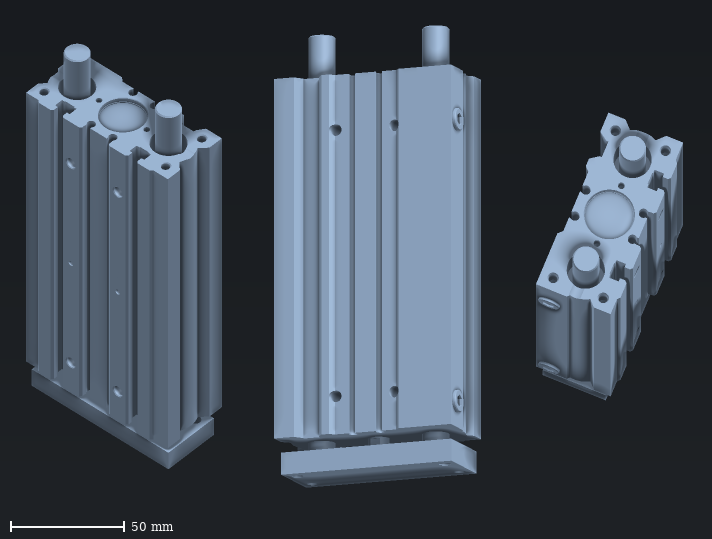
import cadquery as cq
import math


TOTAL_HEIGHT = 199.0
HOUSING_BOTTOM = 16.0
HOUSING_TOP = 178.0
HOUSING_LENGTH = HOUSING_TOP - HOUSING_BOTTOM
HOUSING_LEFT = -41.4
HOUSING_RIGHT = 42.5
HOUSING_BACK = 18.0
HOUSING_FRONT = -19.0
ROD_X = 27.0

PLATE_SIZE = (81.0, 30.0, 10.0)
PLATE_HOLE_X = 35.0
PLATE_HOLE_Y = 9.0
PLATE_HOLE_DIAMETER = 5.2
GUIDE_ROD_DIAMETER = 12.0
GUIDE_ROD_CHAMFER = 0.5
PISTON_ROD_DIAMETER = 9.5
PISTON_ROD_DEPTH = 19.9
FLAT_DISTANCE = 4.2
FLAT_HEIGHT = 5.4

FRONT_CORNER_STEP = 1.2
FRONT_STEP_X = 34.0
BACK_RECESS_HALF = 14.5
BACK_RECESS_FLOOR = 16.0
FRONT_PAD_Y = -16.1
CHANNEL_HALF = 8.0
MOUTH_CHAMFER = 1.0

T_SLOT_X = 22.0
T_SLOT_MOUTH = 5.4
T_SLOT_WIDTH = 8.5
T_SLOT_SHELF_Y = -15.3
T_SLOT_CEILING_Y = -10.7
T_SLOT_RELIEF_Y = -10.3

ROUND_SLOT_X = 6.4
ROUND_SLOT_Y = 13.7
ROUND_SLOT_DIAMETER = 4.2
ROUND_SLOT_NECK = 3.0

POCKET_X = 26.7
POCKET_MOUTH_HALF = 6.5
POCKET_FLOOR_HALF = 3.8
POCKET_SLOPE_END_Y = 14.0
POCKET_FLOOR_Y = 13.0

ROD_BOSS_RADIUS = 13.3
LEFT_RECESS_SPAN = (-9.8, 3.2)
RIGHT_RECESS_SPAN = (-9.8, 9.8)

ROD_CLEARANCE_DIAMETER = 17.0
ROD_CLEARANCE_DEPTH = 19.9
SCOOP_DIAMETER = 10.5
SCOOP_WIDTH = 5.4

COVER_DIAMETER = 22.0
COVER_MOUTH = 22.7
COVER_DEPTH = 2.2
COVER_STEP_DIAMETER = 21.3
COVER_STEP_DEPTH = 2.5

CORNER_HOLE_X = 36.0
CORNER_HOLE_Y = 12.0
CORNER_HOLE_DIAMETER = 4.2
CORNER_HOLE_MOUTH = 5.2
CORNER_HOLE_DEPTH = 12.0
COVER_PIN_X = 14.1
COVER_PIN_DIAMETER = 3.0
COVER_PIN_DEPTH = 6.0
DRILL_POINT_ANGLE = 118.0

FRONT_HOLE_X = 14.0
FRONT_HOLE_HEIGHTS = (33.0, 153.0)
FRONT_HOLE_DIAMETER = 5.2
FRONT_HOLE_MOUTH = 6.0
LOCATING_HOLE_Z = 93.0
LOCATING_HOLE_DIAMETER = 2.5
LOCATING_HOLE_DEPTH = 6.0

PLUG_Y = 11.3
PLUG_HEIGHTS = (27.5, 154.5)
PLUG_DIAMETER = 10.0
PLUG_FACE_DIAMETER = 9.2
PLUG_PROJECTION = 1.5
PLUG_HEX_FLATS = 5.0
PLUG_HEX_DEPTH = 4.0

SIDES = (-1, 1)


def cylinder(diameter, length, base, direction):
    solid = cq.Solid.makeCylinder(diameter / 2, length, cq.Vector(*base), cq.Vector(*direction))
    return cq.Workplane(solid)


def cone(start_diameter, end_diameter, length, base, direction):
    radii = (start_diameter / 2, end_diameter / 2)
    return cq.Workplane(cq.Solid.makeCone(*radii, length, cq.Vector(*base), cq.Vector(*direction)))


def drilled_hole(diameter, depth, base, direction, mouth=None):
    """Blind hole with a drill point, and a 45 degree countersink if a mouth diameter is given."""
    point_length = diameter / 2 / math.tan(math.radians(DRILL_POINT_ANGLE / 2))
    bottom = [b + depth * d for b, d in zip(base, direction)]
    hole = cylinder(diameter, depth, base, direction)
    hole = hole.union(cone(diameter, 0, point_length, bottom, direction))
    if mouth:
        hole = hole.union(cone(mouth, diameter, (mouth - diameter) / 2, base, direction))
    return hole


def prism(points):
    """Closed outline in X and Y, drawn out over the whole housing length."""
    return cq.Workplane("XY", origin=(0, 0, HOUSING_BOTTOM)).polyline(points).close().extrude(HOUSING_LENGTH)


def mirrored(half_points, centre=0):
    """Outline symmetric about X = centre, from (half width, Y) pairs."""
    right_half = [(centre + half, y) for half, y in half_points]
    left_half = [(centre - half, y) for half, y in reversed(half_points)]
    return prism(right_half + left_half)


def housing_blank():
    step_y = HOUSING_FRONT + FRONT_CORNER_STEP
    return prism([
        (HOUSING_LEFT, step_y),
        (-FRONT_STEP_X, step_y),
        (-FRONT_STEP_X + FRONT_CORNER_STEP, HOUSING_FRONT),
        (FRONT_STEP_X - FRONT_CORNER_STEP, HOUSING_FRONT),
        (FRONT_STEP_X, step_y),
        (HOUSING_RIGHT, step_y),
        (HOUSING_RIGHT, HOUSING_BACK),
        (HOUSING_LEFT, HOUSING_BACK),
    ])


def back_recess():
    mouth_half = BACK_RECESS_HALF + HOUSING_BACK - BACK_RECESS_FLOOR
    return mirrored([(BACK_RECESS_HALF, BACK_RECESS_FLOOR), (mouth_half, HOUSING_BACK)])


def front_channel():
    return mirrored([
        (CHANNEL_HALF + MOUTH_CHAMFER, HOUSING_FRONT),
        (CHANNEL_HALF, HOUSING_FRONT + MOUTH_CHAMFER),
        (CHANNEL_HALF, FRONT_PAD_Y),
    ])


def t_slot(x):
    mouth_half = T_SLOT_MOUTH / 2
    return mirrored([
        (mouth_half + MOUTH_CHAMFER, HOUSING_FRONT),
        (mouth_half, HOUSING_FRONT + MOUTH_CHAMFER),
        (mouth_half, T_SLOT_SHELF_Y),
        (T_SLOT_WIDTH / 2, T_SLOT_SHELF_Y),
        (T_SLOT_WIDTH / 2, T_SLOT_CEILING_Y),
        (mouth_half, T_SLOT_CEILING_Y),
        (mouth_half, T_SLOT_RELIEF_Y),
    ], x)


def round_slot(x, side):
    mouth_y = BACK_RECESS_FLOOR if side > 0 else FRONT_PAD_Y
    centre_y = side * ROUND_SLOT_Y
    neck = mirrored([(ROUND_SLOT_NECK / 2, centre_y), (ROUND_SLOT_NECK / 2, mouth_y)], x)
    slot_base = (x, centre_y, HOUSING_BOTTOM)
    return neck.union(cylinder(ROUND_SLOT_DIAMETER, HOUSING_LENGTH, slot_base, (0, 0, 1)))


def nut_pocket():
    return mirrored([
        (POCKET_FLOOR_HALF, POCKET_FLOOR_Y),
        (POCKET_FLOOR_HALF, POCKET_SLOPE_END_Y),
        (POCKET_MOUTH_HALF, HOUSING_BACK),
    ], POCKET_X)


def side_recess(side, edge_x, span):
    """45 degree V in a side face that stops at the round boss of the guide rod."""
    low, high = span
    depth = (high - low) / 2
    wedge = prism([(edge_x, low), (edge_x, high), (edge_x - side * depth, low + depth)])
    boss_base = (side * ROD_X, 0, HOUSING_BOTTOM)
    return wedge.cut(cylinder(2 * ROD_BOSS_RADIUS, HOUSING_LENGTH, boss_base, (0, 0, 1)))


def extrusion():
    body = housing_blank().cut(back_recess()).cut(front_channel()).cut(nut_pocket())
    body = body.cut(side_recess(-1, HOUSING_LEFT, LEFT_RECESS_SPAN))
    body = body.cut(side_recess(1, HOUSING_RIGHT, RIGHT_RECESS_SPAN))
    for side_x in SIDES:
        body = body.cut(t_slot(side_x * T_SLOT_X))
        for side_y in SIDES:
            body = body.cut(round_slot(side_x * ROUND_SLOT_X, side_y))
    return body


def rod_passages(body):
    """Guide rod bores with a wide clearance at the top, side scoops, and the piston rod bore."""
    down = (0, 0, -1)
    scoop_axis_z = HOUSING_TOP + math.sqrt(SCOOP_DIAMETER ** 2 - SCOOP_WIDTH ** 2) / 2
    for side in SIDES:
        top = (side * ROD_X, 0, HOUSING_TOP)
        body = body.cut(cylinder(GUIDE_ROD_DIAMETER, HOUSING_LENGTH, top, down))
        body = body.cut(cylinder(ROD_CLEARANCE_DIAMETER, ROD_CLEARANCE_DEPTH, top, down))
        scoop_start = (side * ROD_X, 0, scoop_axis_z)
        body = body.cut(cylinder(SCOOP_DIAMETER, HOUSING_RIGHT - ROD_X, scoop_start, (side, 0, 0)))
    return body.cut(cylinder(PISTON_ROD_DIAMETER, PISTON_ROD_DEPTH, (0, 0, HOUSING_BOTTOM), (0, 0, 1)))


def cover_recess(body):
    down = (0, 0, -1)
    centre = (0, 0, HOUSING_TOP)
    mouth_depth = (COVER_MOUTH - COVER_DIAMETER) / 2
    body = body.cut(cone(COVER_MOUTH, COVER_DIAMETER, mouth_depth, centre, down))
    body = body.cut(cylinder(COVER_DIAMETER, COVER_DEPTH, centre, down))
    return body.cut(cylinder(COVER_STEP_DIAMETER, COVER_STEP_DEPTH, centre, down))


def top_holes(body):
    down = (0, 0, -1)
    for side_x in SIDES:
        pin_place = (side_x * COVER_PIN_X, 0, HOUSING_TOP)
        body = body.cut(drilled_hole(COVER_PIN_DIAMETER, COVER_PIN_DEPTH, pin_place, down))
        for side_y in SIDES:
            corner = (side_x * CORNER_HOLE_X, side_y * CORNER_HOLE_Y, HOUSING_TOP)
            body = body.cut(
                drilled_hole(CORNER_HOLE_DIAMETER, CORNER_HOLE_DEPTH, corner, down, CORNER_HOLE_MOUTH)
            )
    return body


def front_holes(body):
    inward = (0, 1, 0)
    housing_depth = HOUSING_BACK - HOUSING_FRONT
    sink_depth = (FRONT_HOLE_MOUTH - FRONT_HOLE_DIAMETER) / 2
    for side in SIDES:
        x = side * FRONT_HOLE_X
        for z in FRONT_HOLE_HEIGHTS:
            mouth = (x, HOUSING_FRONT, z)
            body = body.cut(cylinder(FRONT_HOLE_DIAMETER, housing_depth, mouth, inward))
            body = body.cut(cone(FRONT_HOLE_MOUTH, FRONT_HOLE_DIAMETER, sink_depth, mouth, inward))
        locating = (x, HOUSING_FRONT, LOCATING_HOLE_Z)
        body = body.cut(drilled_hole(LOCATING_HOLE_DIAMETER, LOCATING_HOLE_DEPTH, locating, inward))
    return body


def add_port_plugs(body):
    """Plug heads with a chamfered face and a hexagon socket."""
    outward = (-1, 0, 0)
    chamfer = (PLUG_DIAMETER - PLUG_FACE_DIAMETER) / 2
    rim = PLUG_PROJECTION - chamfer
    face_x = HOUSING_LEFT - PLUG_PROJECTION
    hex_diameter = PLUG_HEX_FLATS / math.cos(math.pi / 6)
    for z in PLUG_HEIGHTS:
        body = body.union(cylinder(PLUG_DIAMETER, rim, (HOUSING_LEFT, PLUG_Y, z), outward))
        rim_end = (HOUSING_LEFT - rim, PLUG_Y, z)
        body = body.union(cone(PLUG_DIAMETER, PLUG_FACE_DIAMETER, chamfer, rim_end, outward))
        socket_plane = cq.Workplane(cq.Plane((face_x, PLUG_Y, z), xDir=(0, 0, 1), normal=(1, 0, 0)))
        body = body.cut(socket_plane.polygon(6, hex_diameter).extrude(PLUG_HEX_DEPTH))
    return body


def make_housing():
    body = rod_passages(extrusion())
    body = cover_recess(body)
    body = top_holes(body)
    body = front_holes(body)
    return add_port_plugs(body)


def piston_rod():
    plate_top = PLATE_SIZE[2]
    length = HOUSING_BOTTOM + PISTON_ROD_DEPTH - plate_top
    rod = cylinder(PISTON_ROD_DIAMETER, length, (0, 0, plate_top), (0, 0, 1))
    for side in SIDES:
        flat = cq.Workplane("XY", origin=(0, side * (FLAT_DISTANCE + PISTON_ROD_DIAMETER / 2), plate_top))
        rod = rod.cut(flat.rect(PISTON_ROD_DIAMETER, PISTON_ROD_DIAMETER).extrude(FLAT_HEIGHT))
    return rod


def end_plate():
    plate = cq.Workplane("XY").box(*PLATE_SIZE, centered=(True, True, False))
    hole_places = [(side_x * PLATE_HOLE_X, side_y * PLATE_HOLE_Y) for side_x in SIDES for side_y in SIDES]
    return plate.faces(">Z").workplane().pushPoints(hole_places).hole(PLATE_HOLE_DIAMETER)


def make_slide():
    plate_top = PLATE_SIZE[2]
    slide = end_plate()
    for side in SIDES:
        rod = cylinder(GUIDE_ROD_DIAMETER, TOTAL_HEIGHT - plate_top, (side * ROD_X, 0, plate_top), (0, 0, 1))
        slide = slide.union(rod.faces(">Z").chamfer(GUIDE_ROD_CHAMFER))
    return slide.union(piston_rod())


housing = make_housing()
slide = make_slide()

result = cq.Compound.makeCompound([housing.val(), slide.val()])